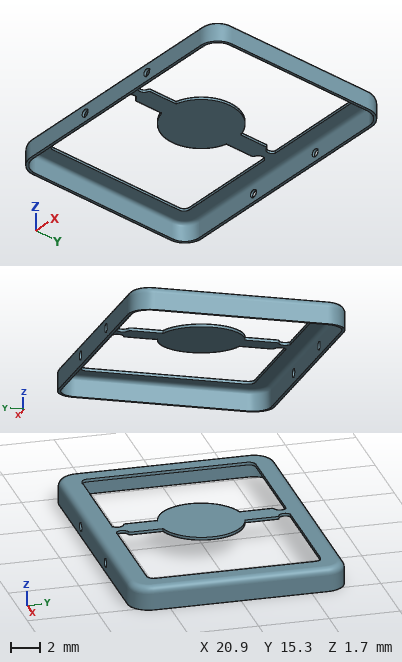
import cadquery as cq

length = 20.9
width = 15.3
height = 1.7
corner_radius = 1.5
top_edge_radius = 0.5
wall = 0.2
plate_thickness = 0.2

rim_width = 1.5
window_corner_radius = 0.5
window_length = length - 2 * rim_width
window_width = width - 2 * rim_width

disc_diameter = 6.0
arm_width = 1.5
notch_radius = 0.44
notch_inset = 0.4
shoulder_radius = 0.15

hole_diameter = 0.6
hole_spacing = 6.5
hole_height = 0.71


def rounded_block(x_size, y_size, z_size, radius):
    """Block standing on Z = 0 with rounded vertical edges."""
    return cq.Workplane("XY").box(x_size, y_size, z_size, centered=(True, True, False)).edges("|Z").fillet(radius)


def make_case():
    """Round-topped tray with an even wall and a thin top plate."""
    outside = rounded_block(length, width, height, corner_radius).faces(">Z").edges().fillet(top_edge_radius)
    cavity = rounded_block(
        length - 2 * wall, width - 2 * wall, height - plate_thickness, corner_radius - wall
    )
    cavity = cavity.faces(">Z").edges().fillet(top_edge_radius - wall)
    return outside.cut(cavity)


def make_window():
    """Window cutter that leaves the disc and its arms standing."""
    window = rounded_block(window_length, window_width, height, window_corner_radius)
    disc = cq.Workplane("XY").circle(disc_diameter / 2).extrude(height)
    arms = cq.Workplane("XY").rect(arm_width, window_width).extrude(height)
    notch_y = window_width / 2 - notch_inset
    notches = (
        cq.Workplane("XY")
        .rect(arm_width, 2 * notch_y, forConstruction=True)
        .vertices()
        .circle(notch_radius)
        .extrude(height)
    )
    notches = notches.intersect(window)
    cutter = window.cut(disc).cut(arms).union(notches)
    shoulder_x = arm_width / 2
    shoulder_y = notch_y - notch_radius
    for x_side in (-1, 1):
        for y_side in (-1, 1):
            shoulder = cq.selectors.NearestToPointSelector((x_side * shoulder_x, y_side * shoulder_y, height / 2))
            cutter = cutter.edges("|Z").edges(shoulder).fillet(shoulder_radius)
    return cutter


def make_side_holes():
    """Pair of round holes running through both long walls."""
    return (
        cq.Workplane("XZ")
        .pushPoints([(side * hole_spacing / 2, hole_height) for side in (-1, 1)])
        .circle(hole_diameter / 2)
        .extrude(width / 2, both=True)
    )


result = make_case().cut(make_window()).cut(make_side_holes())